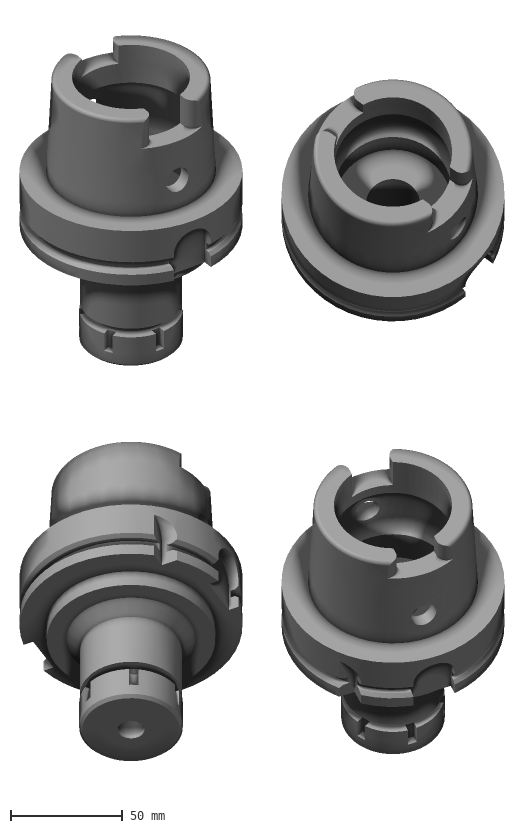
import cadquery as cq
import math

TOTAL_HEIGHT = 140.0
FLANGE_TOP = 90.0
FLANGE_BOTTOM = 61.0
COLLAR_BOTTOM = 53.0
SHANK_TOP = 46.9
SHANK_BOTTOM = 20.5
NUT_TOP = 16.0

TAPER_BASE_RADIUS = 38.1
TAPER_SLOPE = 1 / 20
TAPER_RIM_FILLET = 2.0
FLANGE_RADIUS = 50.0
GROOVE_RADIUS = 46.0
GROOVE_CENTER = 70.0
GROOVE_WIDTH = 3.9
GROOVE_LIP_DEPTH = 1.8
GROOVE_LIP_HEIGHT = 1.4
COLLAR_RADIUS = 37.8
CONE_TOP_RADIUS = 29.0
SHANK_RADIUS = 23.0
NECK_RADIUS = 18.0

MOUTH_RADIUS = 26.5
MOUTH_BOTTOM = 119.8
CHAMBER_RADIUS = 31.6
CHAMBER_BOTTOM = 99.4
CHAMBER_ROUNDING = 7.0
CAVITY_FLOOR = 77.5
CROSS_HOLE_RADIUS = 6.0
CROSS_HOLE_HEIGHT = 105.0

DRIVE_SLOT_WIDTH = 19.7
DRIVE_SLOT_FLAT = 32.3
DRIVE_SLOT_ROUNDING = 4.8
LEFT_SLOT_FLOOR = 130.3
RIGHT_SLOT_FLOOR = 124.9

POCKET_WIDTH = 20.0
POCKET_TOP = 85.1
KEYWAY_FLOOR = 44.1
NOTCH_FLOOR = 31.4
NOTCH_OFFSET = 41.3

NUT_RADIUS = 23.2
NUT_CHAMFER = 1.4
NUT_SEAT = 6.7
WRENCH_SLOT_COUNT = 6
WRENCH_SLOT_WIDTH = 4.2
WRENCH_SLOT_FLOOR = 19.6
WRENCH_SLOT_BOTTOM = 6.7

COLLET_RADIUS = 12.2
COLLET_BORE_RADIUS = 6.0
COLLET_LENGTH = 40.0


def cylinder(radius, bottom, top):
    """Cylinder on the Z axis between two heights."""
    return cq.Workplane("XY").workplane(offset=bottom).circle(radius).extrude(top - bottom)


def turned(profile):
    """Solid of revolution about Z from a closed (radius, height) outline."""
    return profile.revolve(360, (0, 0, 0), (0, 1, 0))


def holder_blank():
    """Turned outside of the holder, with the rim of the taper rounded."""
    rim_radius = TAPER_BASE_RADIUS - TAPER_SLOPE * (TOTAL_HEIGHT - FLANGE_TOP)
    lip_radius = FLANGE_RADIUS - GROOVE_LIP_DEPTH
    groove_top = GROOVE_CENTER + GROOVE_WIDTH / 2
    groove_bottom = GROOVE_CENTER - GROOVE_WIDTH / 2
    corners = [
        (0, NUT_SEAT),
        (NECK_RADIUS, NUT_SEAT),
        (NECK_RADIUS, SHANK_BOTTOM),
        (SHANK_RADIUS, SHANK_BOTTOM),
        (SHANK_RADIUS, SHANK_TOP),
        (CONE_TOP_RADIUS, COLLAR_BOTTOM),
        (COLLAR_RADIUS, COLLAR_BOTTOM),
        (COLLAR_RADIUS, FLANGE_BOTTOM),
        (FLANGE_RADIUS, FLANGE_BOTTOM),
        (FLANGE_RADIUS, groove_bottom - GROOVE_LIP_HEIGHT),
        (lip_radius, groove_bottom),
        (GROOVE_RADIUS, groove_bottom),
        (GROOVE_RADIUS, groove_top),
        (lip_radius, groove_top),
        (FLANGE_RADIUS, groove_top + GROOVE_LIP_HEIGHT),
        (FLANGE_RADIUS, FLANGE_TOP),
        (TAPER_BASE_RADIUS, FLANGE_TOP),
        (rim_radius, TOTAL_HEIGHT),
        (0, TOTAL_HEIGHT),
    ]
    profile = cq.Workplane("XZ").polyline(corners).close()
    return turned(profile).faces(">Z").edges().fillet(TAPER_RIM_FILLET)


def drive_slot(side, floor):
    """Cutter for a rim slot on the +X (side = 1) or -X (side = -1) half of the taper.

    It leaves two flats across X, joined to the slot walls by rounded corners.
    """
    half_width = DRIVE_SLOT_WIDTH / 2
    depth = TOTAL_HEIGHT - floor
    plane = cq.Workplane("XY").workplane(offset=floor)
    outer_x = FLANGE_RADIUS
    kept_block_x = 2 * DRIVE_SLOT_FLAT
    cutter = plane.center(side * outer_x / 2, 0).rect(outer_x, 2 * FLANGE_RADIUS).extrude(depth)
    for wall_side in (1, -1):
        kept = (
            plane.center(0, wall_side * (half_width + FLANGE_RADIUS / 2))
            .rect(kept_block_x, FLANGE_RADIUS)
            .extrude(depth)
            .edges("|Z")
            .fillet(DRIVE_SLOT_ROUNDING)
        )
        cutter = cutter.cut(kept)
    return cutter


def arched_pocket(side, floor_distance, center_y):
    """Cutter for a round-topped flange pocket with a flat floor facing side * X."""
    radius = POCKET_WIDTH / 2
    arch_center = POCKET_TOP - radius
    outline = (
        cq.Workplane("YZ")
        .workplane(offset=side * floor_distance)
        .moveTo(center_y - radius, FLANGE_BOTTOM)
        .lineTo(center_y - radius, arch_center)
        .threePointArc((center_y, POCKET_TOP), (center_y + radius, arch_center))
        .lineTo(center_y + radius, FLANGE_BOTTOM)
        .close()
    )
    return outline.extrude(side * FLANGE_RADIUS)


def cavity():
    """Cutter for the stepped hollow of the taper: mouth, wider chamber and lower well."""
    arc_center_radius = CHAMBER_RADIUS - CHAMBER_ROUNDING
    arc_drop = math.sqrt(CHAMBER_ROUNDING**2 - (MOUTH_RADIUS - arc_center_radius) ** 2)
    profile = (
        cq.Workplane("XZ")
        .moveTo(0, CAVITY_FLOOR)
        .lineTo(MOUTH_RADIUS, CAVITY_FLOOR)
        .lineTo(MOUTH_RADIUS, CHAMBER_BOTTOM - arc_drop)
        .radiusArc((CHAMBER_RADIUS, CHAMBER_BOTTOM), -CHAMBER_ROUNDING)
        .lineTo(CHAMBER_RADIUS, MOUTH_BOTTOM)
        .lineTo(MOUTH_RADIUS, MOUTH_BOTTOM)
        .lineTo(MOUTH_RADIUS, TOTAL_HEIGHT)
        .lineTo(0, TOTAL_HEIGHT)
        .close()
    )
    return turned(profile)


def make_holder():
    """Tool holder with its hollow taper, slotted rim and grooved flange."""
    cross_hole = (
        cq.Workplane("YZ")
        .center(0, CROSS_HOLE_HEIGHT)
        .circle(CROSS_HOLE_RADIUS)
        .extrude(FLANGE_RADIUS, both=True)
    )
    cutters = [
        cavity(),
        cylinder(COLLET_RADIUS, NUT_SEAT, CAVITY_FLOOR),
        cross_hole,
        drive_slot(-1, LEFT_SLOT_FLOOR),
        drive_slot(1, RIGHT_SLOT_FLOOR),
        arched_pocket(-1, KEYWAY_FLOOR, 0),
        arched_pocket(1, KEYWAY_FLOOR, 0),
        arched_pocket(-1, NOTCH_FLOOR, NOTCH_OFFSET),
    ]
    body = holder_blank()
    for cutter in cutters:
        body = body.cut(cutter)
    return body


def make_nut():
    """Clamping nut, seated on the holder neck, with wrench slots around its top."""
    body = cylinder(NUT_RADIUS, 0, NUT_TOP).faces("<Z").edges().chamfer(NUT_CHAMFER)
    body = body.cut(cylinder(NECK_RADIUS, NUT_SEAT, NUT_TOP))
    body = body.cut(cylinder(COLLET_RADIUS, 0, NUT_SEAT))
    slot = cq.Workplane("XY").box(
        NUT_RADIUS, WRENCH_SLOT_WIDTH, NUT_TOP - WRENCH_SLOT_BOTTOM, centered=(False, True, False)
    ).translate((WRENCH_SLOT_FLOOR, 0, WRENCH_SLOT_BOTTOM))
    for index in range(WRENCH_SLOT_COUNT):
        angle = index * 360 / WRENCH_SLOT_COUNT
        body = body.cut(slot.rotate((0, 0, 0), (0, 0, 1), angle))
    return body


def make_collet():
    """Straight collet sleeve that passes through the nut into the holder."""
    return cylinder(COLLET_RADIUS, 0, COLLET_LENGTH).cut(
        cylinder(COLLET_BORE_RADIUS, 0, COLLET_LENGTH)
    )


holder = make_holder()
nut = make_nut()
collet = make_collet()

result = cq.Compound.makeCompound([holder.val(), nut.val(), collet.val()])